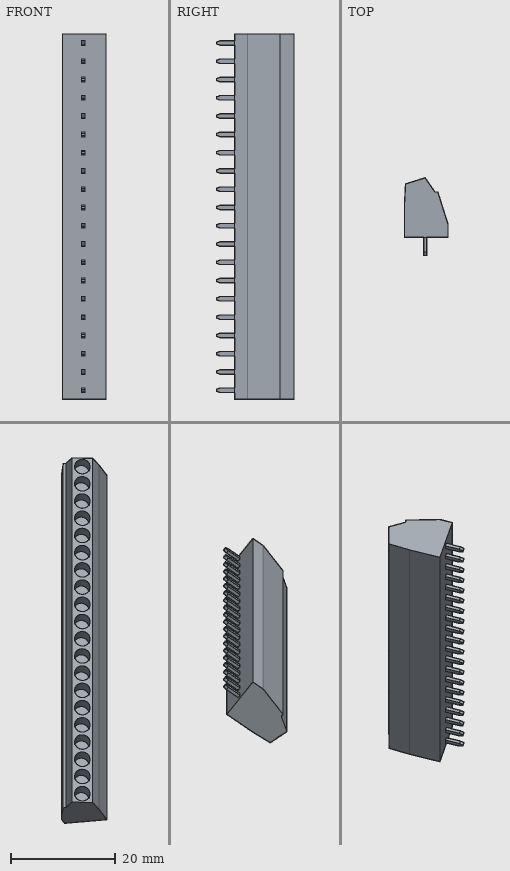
import cadquery as cq

pole_count = 20
strip_length = 70.0
pitch = strip_length / pole_count

housing_width = 8.4
housing_height = 11.4
taper_start = 6.1
shoulder_inset = 0.2
shoulder_height = 10.2
peak_offset = 4.0
step_inner_offset = 5.9
step_outer_offset = 6.45
step_height = 8.7
front_wall_height = 2.45

entry_diameter = 2.95
entry_depth = 3.5

pin_width = 0.6
pin_thickness = 0.9
pin_length = 3.5
pin_tip_length = 0.7
pin_tip_thickness = 0.35
pin_root = 0.7
pin_offset = 4.0

shoulder = (shoulder_inset, shoulder_height)
peak = (peak_offset, housing_height)


def pole_heights():
    """Z position of every pole, symmetric about the middle of the strip."""
    return [(index - (pole_count - 1) / 2) * pitch for index in range(pole_count)]


def make_housing():
    """Extrude the housing section along Z."""
    outline = [
        (0, 0),
        (0, taper_start),
        shoulder,
        peak,
        (step_inner_offset, step_height),
        (step_outer_offset, step_height),
        (housing_width, front_wall_height),
        (housing_width, 0),
    ]
    return cq.Workplane("XY").polyline(outline).close().extrude(strip_length / 2, both=True)


def make_entry(z):
    """Cylinder that sinks square into the middle of the sloped face."""
    run = peak[0] - shoulder[0]
    rise = peak[1] - shoulder[1]
    center = cq.Vector((shoulder[0] + peak[0]) / 2, (shoulder[1] + peak[1]) / 2, z)
    inward = cq.Vector(rise, -run, 0)
    return cq.Solid.makeCylinder(entry_diameter / 2, entry_depth, center, inward)


def make_pin(z):
    """Flat pin whose tip narrows along Z."""
    half = pin_thickness / 2
    tip_half = pin_tip_thickness / 2
    tip_start = pin_tip_length - pin_length
    outline = [
        (pin_root, -half),
        (tip_start, -half),
        (-pin_length, -tip_half),
        (-pin_length, tip_half),
        (tip_start, half),
        (pin_root, half),
    ]
    pin = cq.Workplane("YZ").polyline(outline).close().extrude(pin_width / 2, both=True)
    return pin.translate((pin_offset, 0, z))


result = make_housing()
for pole_z in pole_heights():
    result = result.cut(cq.Workplane(obj=make_entry(pole_z)))
    result = result.union(make_pin(pole_z))